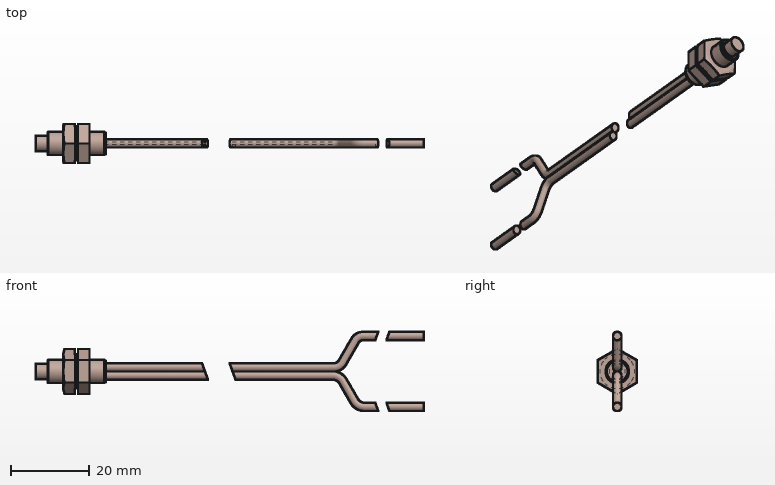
import cadquery as cq
import math

tip_diameter = 4.0
barrel_diameter = 6.0
barrel_start = 3.0
barrel_end = 18.0
barrel_front_chamfer = 0.3
barrel_rear_chamfer_length = 0.6
barrel_rear_chamfer_depth = 0.35

nut_across_flats = 10.0
nut_across_corners = nut_across_flats / math.cos(math.radians(30))
nut_thickness = 3.0
front_nut_start = 7.0
rear_nut_start = 10.8
nut_face_diameter = 8.8
nut_face_height = 0.3
nut_bevel_angle = math.radians(15)

fibre_diameter = 2.2
fibre_pitch = 2.1
fibre_radius = fibre_diameter / 2
fibre_offset = fibre_pitch / 2

break_angle = math.radians(20)
stub_break = 43.25
trunk_break = 50.25
arm_break = 87.1
tail_break = 89.9
overall_length = 99.11

overall_height = 20.3
arm_offset = overall_height / 2 - fibre_radius
fork_angle = math.radians(60)
fork_corner = 77.6
arm_corner = fork_corner + (arm_offset - fibre_offset) / math.tan(fork_angle)
upper_bend_radius = 2.4
lower_bend_radius = 3.0

break_allowance = 3.0

UP = 1
DOWN = -1


def disc_plane(x, z=0.0):
    """Workplane square to X, from which material grows toward +X."""
    return cq.Workplane("YZ", origin=(x, 0, z))


def beyond_break(x, z, side, slope):
    """Block filling the space past a slanted break face.

    side is +1 for the space toward +X and -1 for the space toward -X;
    slope is +1 when the face moves to +X as it rises and -1 when it moves to -X.
    """
    size = 4 * fibre_diameter
    lean = slope * size * math.tan(break_angle)
    outline = [
        (x - lean, z - size),
        (x + lean, z + size),
        (x + lean + side * 2 * size, z + size),
        (x - lean + side * 2 * size, z - size),
    ]
    return cq.Workplane("XZ").polyline(outline).close().extrude(size, both=True)


def make_nut(start):
    """Plain hexagon nut with two flats facing +Y and -Y."""
    hexagon = disc_plane(start).polygon(6, nut_across_corners)
    return hexagon.extrude(nut_thickness).rotate((0, 0, 0), (1, 0, 0), 90)


def make_front_nut():
    """Nut with a shallow conical bevel in front and a raised round face behind."""
    face_radius = nut_face_diameter / 2
    cone_radius = nut_across_corners
    cone_length = (cone_radius - face_radius) * math.tan(nut_bevel_angle)
    nut_end = front_nut_start + nut_thickness
    bevel_profile = [
        (front_nut_start, 0),
        (front_nut_start, face_radius),
        (front_nut_start + cone_length, cone_radius),
        (nut_end, cone_radius),
        (nut_end, 0),
    ]
    envelope = cq.Workplane("XY").polyline(bevel_profile).close().revolve(360, (0, 0), (1, 0))
    raised_face = disc_plane(nut_end).circle(face_radius).extrude(nut_face_height)
    return make_nut(front_nut_start).intersect(envelope).union(raised_face)


def make_tip_and_barrel():
    """Turned tip and barrel, chamfered at both ends of the barrel."""
    tip_radius = tip_diameter / 2
    barrel_radius = barrel_diameter / 2
    profile = [
        (0, 0),
        (0, tip_radius),
        (barrel_start, tip_radius),
        (barrel_start, barrel_radius - barrel_front_chamfer),
        (barrel_start + barrel_front_chamfer, barrel_radius),
        (barrel_end - barrel_rear_chamfer_length, barrel_radius),
        (barrel_end, barrel_radius - barrel_rear_chamfer_depth),
        (barrel_end, 0),
    ]
    return cq.Workplane("XY").polyline(profile).close().revolve(360, (0, 0), (1, 0))


def make_sensor_head():
    body = make_tip_and_barrel()
    stub_length = stub_break + break_allowance - barrel_end
    for side in (UP, DOWN):
        fibre = disc_plane(barrel_end, side * fibre_offset).circle(fibre_radius).extrude(stub_length)
        body = body.union(fibre)
    body = body.cut(beyond_break(stub_break, 0, side=1, slope=-1))
    return body.union(make_front_nut()).union(make_nut(rear_nut_start))


def make_arm(side, bend_radius):
    """One fibre swept from the trunk through both bends, side being UP or DOWN."""
    tangent_length = bend_radius * math.tan(fork_angle / 2)
    along = tangent_length * math.cos(fork_angle)
    across = tangent_length * math.sin(fork_angle)
    arc_reach = bend_radius * math.sin(fork_angle / 2)
    arc_rise = bend_radius * (1 - math.cos(fork_angle / 2))

    start = trunk_break - break_allowance
    end = arm_break + break_allowance
    first_bend_start = fork_corner - tangent_length
    second_bend_end = arm_corner + tangent_length
    path = (
        cq.Workplane("XZ")
        .moveTo(start, side * fibre_offset)
        .lineTo(first_bend_start, side * fibre_offset)
        .threePointArc(
            (first_bend_start + arc_reach, side * (fibre_offset + arc_rise)),
            (fork_corner + along, side * (fibre_offset + across)),
        )
        .lineTo(arm_corner - along, side * (arm_offset - across))
        .threePointArc(
            (second_bend_end - arc_reach, side * (arm_offset - arc_rise)),
            (second_bend_end, side * arm_offset),
        )
        .lineTo(end, side * arm_offset)
    )
    arm = disc_plane(start, side * fibre_offset).circle(fibre_radius).sweep(path)
    return arm.cut(beyond_break(arm_break, side * arm_offset, side=1, slope=side))


def make_forked_cable():
    arms = make_arm(UP, upper_bend_radius).union(make_arm(DOWN, lower_bend_radius))
    return arms.cut(beyond_break(trunk_break, 0, side=-1, slope=-1))


def make_cable_tail(side):
    height = side * arm_offset
    start = tail_break - break_allowance
    tail = disc_plane(start, height).circle(fibre_radius).extrude(overall_length - start)
    return tail.cut(beyond_break(tail_break, height, side=-1, slope=side))


sensor_head = make_sensor_head()
forked_cable = make_forked_cable()
cable_tails = [make_cable_tail(side) for side in (UP, DOWN)]

result = cq.Compound.makeCompound(
    [
        sensor_head.solids().val(),
        forked_cable.solids().val(),
        *[tail.solids().val() for tail in cable_tails],
    ]
)